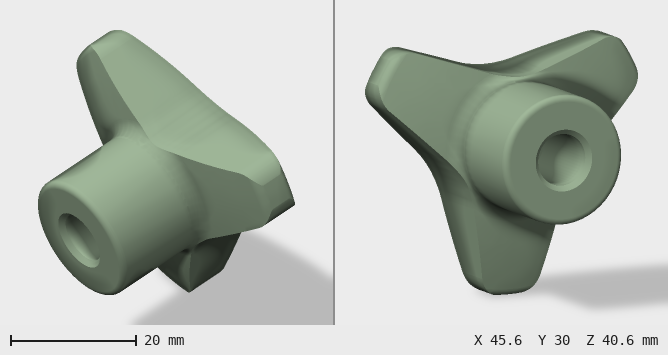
import cadquery as cq
import math

total_length = 30.0
tip_radius = 25.05
arm_count = 3
first_arm_angle = 30

back_dome_radius = 73.1
front_dome_radius = 77.67
dome_spacing = 14.1
tip_edge_radius = 1.5

hub_radius = 21 / 2
hub_edge_radius = 1.0
flare_radius = 2.4
bore_radius = 8.35 / 2
bore_depth = 16
bore_chamfer = 0.8
drill_tip_angle = 118

corner_radius = 4.1
corner_along = 20.95
corner_across = 1.15
arm_taper = 12.5
valley_radius = 16


def shifted(center, radius, angle):
    """Point at the given radius and angle (degrees) around a center."""
    turn = math.radians(angle)
    return center[0] + radius * math.cos(turn), center[1] + radius * math.sin(turn)


def make_round_body():
    """Domed head and flared hub as one body of revolution."""
    back_center = total_length - back_dome_radius
    front_center = total_length - dome_spacing + front_dome_radius

    flare_x = hub_radius + flare_radius
    flare_y = front_center - math.sqrt((front_dome_radius + flare_radius) ** 2 - flare_x**2)
    flare_center = (flare_x, flare_y)
    flare_end_angle = math.degrees(math.atan2(front_center - flare_y, -flare_x))
    flare_mid_angle = (180 + flare_end_angle) / 2

    round_x = tip_radius - tip_edge_radius
    back_height = math.sqrt((back_dome_radius - tip_edge_radius) ** 2 - round_x**2)
    front_height = math.sqrt((front_dome_radius - tip_edge_radius) ** 2 - round_x**2)
    back_round = (round_x, back_center + back_height)
    front_round = (round_x, front_center - front_height)
    back_angle = math.degrees(math.atan2(back_height, round_x))
    front_angle = -math.degrees(math.atan2(front_height, round_x))

    front_dome_start = shifted(flare_center, flare_radius, flare_end_angle)
    front_dome_angle = (flare_end_angle - 180 + front_angle) / 2
    front_dome_mid = shifted((0, front_center), front_dome_radius, front_dome_angle)
    back_dome_mid = shifted((0, back_center), back_dome_radius, (90 + back_angle) / 2)
    hub_round = (hub_radius - hub_edge_radius, hub_edge_radius)

    profile = (
        cq.Workplane("XY")
        .lineTo(hub_round[0], 0)
        .threePointArc(shifted(hub_round, hub_edge_radius, -45), (hub_radius, hub_edge_radius))
        .lineTo(hub_radius, flare_y)
        .threePointArc(shifted(flare_center, flare_radius, flare_mid_angle), front_dome_start)
        .threePointArc(front_dome_mid, shifted(front_round, tip_edge_radius, front_angle))
        .threePointArc(
            shifted(front_round, tip_edge_radius, front_angle / 2), (tip_radius, front_round[1])
        )
        .lineTo(tip_radius, back_round[1])
        .threePointArc(
            shifted(back_round, tip_edge_radius, back_angle / 2),
            shifted(back_round, tip_edge_radius, back_angle),
        )
        .threePointArc(back_dome_mid, (0, total_length))
        .close()
    )
    return profile.revolve(360, (0, 0), (0, 1))


def make_arm_prism():
    """Star of tapered arms joined by concave valleys, along the whole length."""
    arm_pitch = 360 / arm_count
    side_normal = 90 - arm_taper
    corner = (corner_along, corner_across)
    shoulder = shifted(corner, corner_radius, side_normal)
    corner_mid = shifted(corner, corner_radius, side_normal / 2)
    tip_end = (corner_along + corner_radius, corner_across)

    side_offset = shoulder[0] * math.sin(math.radians(arm_taper))
    side_offset += shoulder[1] * math.cos(math.radians(arm_taper))
    valley_half_angle = arm_pitch / 2 - side_normal
    valley_distance = (side_offset + valley_radius) / math.cos(math.radians(valley_half_angle))
    valley_center = shifted((0, 0), valley_distance, arm_pitch / 2)
    valley_start = shifted(valley_center, valley_radius, side_normal + 180)
    valley_mid = shifted((0, 0), valley_distance - valley_radius, arm_pitch / 2)

    def on_arm(point, angle, side=1):
        """Turn an arm point into place; side -1 mirrors it across the arm axis."""
        direction = angle + side * math.degrees(math.atan2(point[1], point[0]))
        return shifted((0, 0), math.hypot(*point), direction)

    outline = cq.Workplane("XZ").moveTo(*on_arm(valley_start, first_arm_angle, -1))
    for index in range(arm_count):
        angle = first_arm_angle + index * arm_pitch
        outline = (
            outline.lineTo(*on_arm(shoulder, angle, -1))
            .threePointArc(on_arm(corner_mid, angle, -1), on_arm(tip_end, angle, -1))
            .lineTo(*on_arm(tip_end, angle))
            .threePointArc(on_arm(corner_mid, angle), on_arm(shoulder, angle))
            .lineTo(*on_arm(valley_start, angle))
            .threePointArc(
                on_arm(valley_mid, angle), on_arm(valley_start, angle + arm_pitch, -1)
            )
        )
    return outline.close().extrude(-total_length)


def make_bore():
    """Blind drilled hole with a chamfered mouth and a conical bottom."""
    cone_height = bore_radius / math.tan(math.radians(drill_tip_angle / 2))
    profile = (
        cq.Workplane("XY")
        .lineTo(bore_radius + bore_chamfer, 0)
        .lineTo(bore_radius, bore_chamfer)
        .lineTo(bore_radius, bore_depth)
        .lineTo(0, bore_depth + cone_height)
        .close()
    )
    return profile.revolve(360, (0, 0), (0, 1))


result = make_round_body().intersect(make_arm_prism()).cut(make_bore())